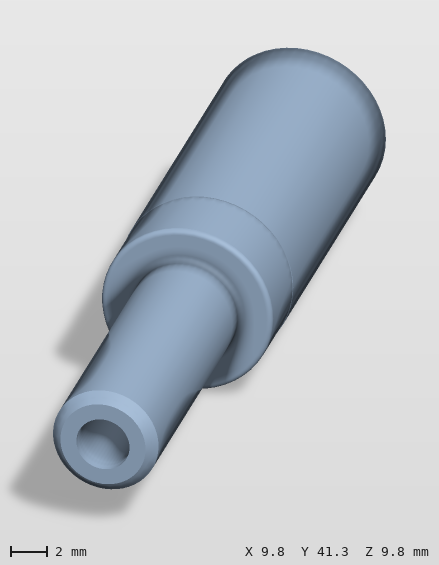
import cadquery as cq

total_length = 41.3
grip_diameter = 9.8
collar_diameter = 9.7
shank_diameter = 6.0
bore_diameter = 3.0
bore_depth = 6.2

shank_length = 17.2
collar_length = 4.25
dome_height = 0.8
tip_chamfer = 0.58
collar_fillet = 0.3
root_fillet = 0.35

grip_radius = grip_diameter / 2
collar_radius = collar_diameter / 2
shank_radius = shank_diameter / 2

tip_y = -total_length / 2
shoulder_y = tip_y + shank_length
grip_y = shoulder_y + collar_length
dome_top_y = tip_y + total_length
dome_base_y = dome_top_y - dome_height

dome_radius = (grip_radius**2 + dome_height**2) / (2 * dome_height)
dome_mid_x = grip_radius / 2
dome_mid_y = dome_top_y - dome_radius + (dome_radius**2 - dome_mid_x**2) ** 0.5


def make_body():
    """Revolve the half outline of the shank, collar and domed grip."""
    outline = (
        cq.Workplane("XY")
        .moveTo(0, tip_y)
        .lineTo(shank_radius - tip_chamfer, tip_y)
        .lineTo(shank_radius, tip_y + tip_chamfer)
        .lineTo(shank_radius, shoulder_y - root_fillet)
        .radiusArc((shank_radius + root_fillet, shoulder_y), root_fillet)
        .lineTo(collar_radius - collar_fillet, shoulder_y)
        .radiusArc((collar_radius, shoulder_y + collar_fillet), -collar_fillet)
        .lineTo(collar_radius, grip_y)
        .lineTo(grip_radius, grip_y)
        .lineTo(grip_radius, dome_base_y)
        .threePointArc((dome_mid_x, dome_mid_y), (0, dome_top_y))
        .close()
    )
    return outline.revolve(360, (0, 0, 0), (0, 1, 0))


def make_bore():
    """Blind flat-bottomed bore entering the shank tip."""
    bore = cq.Workplane("XZ", origin=(0, tip_y, 0)).circle(bore_diameter / 2)
    return bore.extrude(-bore_depth)


result = make_body().cut(make_bore())